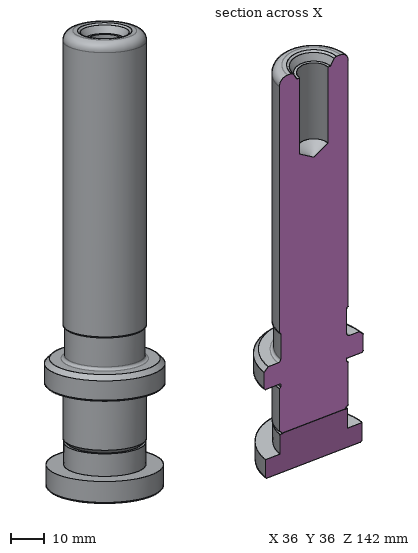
import cadquery as cq
import math

overall_height = 142.0

cap_radius = 17.5
cap_thickness = 7.0
cap_edge_chamfer = 0.5
hub_radius = 12.25
hub_height = 7.0

shaft_radius = 12.5
shaft_top_fillet = 3.0
neck_radius = 12.0
neck_top_z = 50.5
neck_taper = 0.5
collar_radius = 18.0
collar_bottom_z = 32.0
collar_height = 8.0
collar_top_chamfer = 1.5
collar_bottom_chamfer = 0.5
collar_fillet = 1.0
relief_height = 1.5
spigot_chamfer = 1.2

mouth_radius = 8.1
countersink_radius = 7.3
thread_radius = 6.0
core_radius = 5.1
mouth_cone_angle = 120.0
countersink_angle = 60.0
drill_tip_angle = 118.0
core_depth = 30.0

hub_top_z = cap_thickness + hub_height
collar_top_z = collar_bottom_z + collar_height
spigot_top_z = collar_bottom_z - relief_height


def cone_depth(wide_radius, narrow_radius, included_angle):
    """Axial length of a cone between two radii."""
    return (wide_radius - narrow_radius) / math.tan(math.radians(included_angle / 2))


def revolve_about_z(outline):
    """Turn a closed (radius, height) outline once around the Z axis."""
    return outline.close().revolve(360, (0, 0, 0), (0, 1, 0))


def make_pillar_blank():
    outline = (
        cq.Workplane("XZ")
        .moveTo(0, hub_top_z)
        .lineTo(shaft_radius - spigot_chamfer, hub_top_z)
        .lineTo(shaft_radius, hub_top_z + spigot_chamfer)
        .lineTo(shaft_radius, spigot_top_z)
        .lineTo(neck_radius, spigot_top_z + neck_taper)
        .lineTo(neck_radius, collar_bottom_z)
        .lineTo(collar_radius - collar_bottom_chamfer, collar_bottom_z)
        .lineTo(collar_radius, collar_bottom_z + collar_bottom_chamfer)
        .lineTo(collar_radius, collar_top_z - collar_top_chamfer)
        .lineTo(collar_radius - collar_top_chamfer, collar_top_z)
        .lineTo(neck_radius + collar_fillet, collar_top_z)
        .radiusArc((neck_radius, collar_top_z + collar_fillet), collar_fillet)
        .lineTo(neck_radius, neck_top_z - neck_taper)
        .lineTo(shaft_radius, neck_top_z)
        .lineTo(shaft_radius, overall_height - shaft_top_fillet)
        .radiusArc((shaft_radius - shaft_top_fillet, overall_height), -shaft_top_fillet)
        .lineTo(0, overall_height)
    )
    return revolve_about_z(outline)


def make_centre_hole():
    countersink_z = overall_height - cone_depth(mouth_radius, countersink_radius, mouth_cone_angle)
    floor_z = countersink_z - cone_depth(countersink_radius, thread_radius, countersink_angle)
    core_end_z = overall_height - core_depth
    tip_z = core_end_z - cone_depth(core_radius, 0, drill_tip_angle)
    outline = (
        cq.Workplane("XZ")
        .moveTo(0, overall_height)
        .lineTo(mouth_radius, overall_height)
        .lineTo(countersink_radius, countersink_z)
        .lineTo(thread_radius, floor_z)
        .lineTo(core_radius, floor_z)
        .lineTo(core_radius, core_end_z)
        .lineTo(0, tip_z)
    )
    return revolve_about_z(outline)


def make_pillar():
    return make_pillar_blank().cut(make_centre_hole())


def make_retaining_cap():
    outline = (
        cq.Workplane("XZ")
        .lineTo(cap_radius - cap_edge_chamfer, 0)
        .lineTo(cap_radius, cap_edge_chamfer)
        .lineTo(cap_radius, cap_thickness)
        .lineTo(hub_radius, cap_thickness)
        .lineTo(hub_radius, hub_top_z)
        .lineTo(0, hub_top_z)
    )
    return revolve_about_z(outline)


pillar = make_pillar()
retaining_cap = make_retaining_cap()

result = cq.Compound.makeCompound([pillar.val(), retaining_cap.val()])